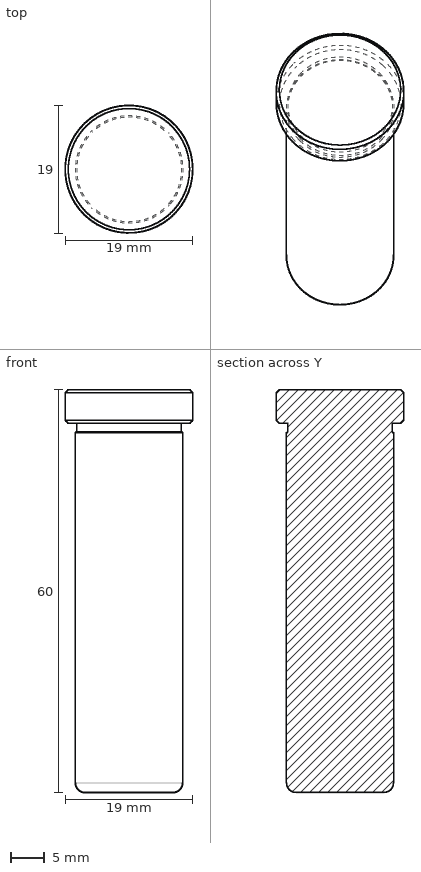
import cadquery as cq

total_length = 60.0
head_diameter = 19.0
head_height = 5.05
head_chamfer = 0.5
shank_diameter = 16.0
neck_diameter = 15.6
neck_height = 1.2
tip_radius = 1.5
shank_chamfer = (shank_diameter - neck_diameter) / 2

shank_top = total_length - head_height - neck_height
neck_overlap = 0.6


def cylinder(diameter, bottom, height):
    """Upright cylinder on the Z axis."""
    return cq.Workplane("XY").workplane(offset=bottom).circle(diameter / 2).extrude(height)


shank = cylinder(shank_diameter, 0, shank_top).faces("<Z").edges().fillet(tip_radius)
shank = shank.faces(">Z").edges().chamfer(shank_chamfer)

neck = cylinder(neck_diameter, shank_top - neck_overlap, neck_height + neck_overlap)

head = cylinder(head_diameter, total_length - head_height, head_height)
head = head.faces("<Z or >Z").edges().chamfer(head_chamfer)

result = shank.union(neck).union(head)